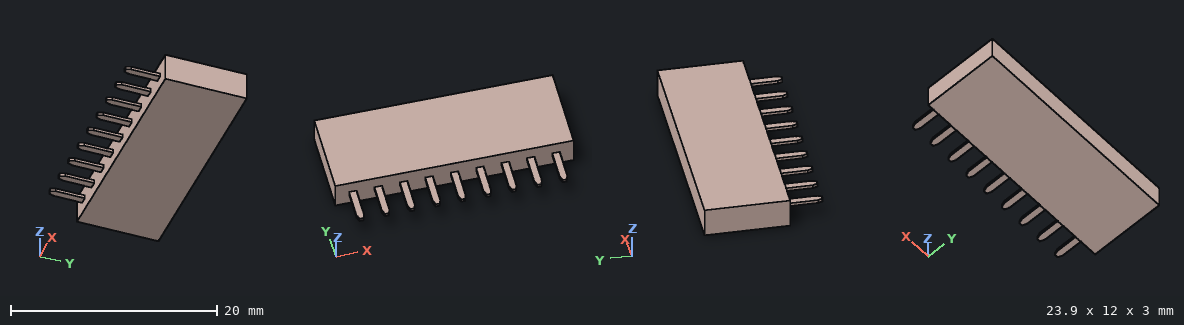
import cadquery as cq

housing_length = 23.85
housing_height = 3.0
overall_depth = 12.0
pin_length = 3.5
housing_depth = overall_depth - pin_length

pin_count = 9
pin_row_span = 20.33
pin_pitch = pin_row_span / (pin_count - 1)
pin_width = 0.76
pin_thickness = 0.35
pin_tip_width = 0.38
pin_tip_length = 0.5


def make_housing():
    """Plain block with its pin face on the plane Y = 0."""
    return cq.Workplane("XY").box(
        housing_length, housing_depth, housing_height, centered=(True, False, True)
    )


def make_pin(center_x):
    """Flat pin pointing along -Y, narrowed to a blunt tip."""
    half_width = pin_width / 2
    half_tip = pin_tip_width / 2
    taper_start = -(pin_length - pin_tip_length)
    outline = [
        (-half_width, 0),
        (-half_width, taper_start),
        (-half_tip, -pin_length),
        (half_tip, -pin_length),
        (half_width, taper_start),
        (half_width, 0),
    ]
    pin = cq.Workplane("XY").polyline(outline).close().extrude(pin_thickness / 2, both=True)
    return pin.translate((center_x, 0, 0))


result = make_housing()
for index in range(pin_count):
    result = result.union(make_pin(index * pin_pitch - pin_row_span / 2))